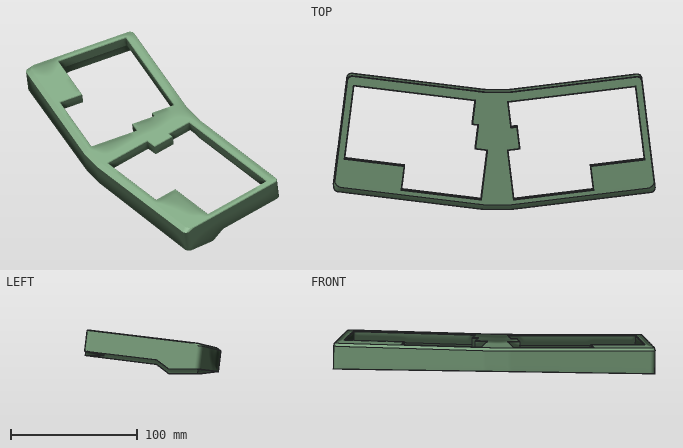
import cadquery as cq
import math


KEY = 19.05
KEY_ROWS = 4
WING_ANGLE = 7.0
TILT = 7.0
ROLL = 0.86

LEFT_ROWS = (5.0, 5.25, 5.75, 5.75)
RIGHT_ROWS = (5.25, 5.0, 5.5, 5.5)
LEFT_BLOCK = 2.5
RIGHT_BLOCK = 2.25

KEY_GAP = 0.5
END_MARGIN = 6.5
EDGE_MARGIN = 8.5
MIDDLE_WIDTH = 20.0
MIDDLE_MARGIN = 4.6
DEPTH = KEY_ROWS * KEY + 2 * EDGE_MARGIN
CORNER_RADIUS = 4.0
BEND_RADIUS = 18.0
WALL = 2.7

PLATE = 8.0
BACK_HEIGHT = 17.0
BLANK_HEIGHT = 60.0

FOOT_START = 49.4
FOOT_RUN = 10.6
FOOT_SLOPE = 30.0

EDGE_BREAK = 0.5
CHAMFER_RUN = 4.0
CHAMFER_DROP = 2.0
CHAMFER_TOP_RADIUS = 6.0

BEYOND = 300.0

LEFT_SIDE = -1
RIGHT_SIDE = 1


def wing_length(rows):
    return rows[-1] * KEY + END_MARGIN + MIDDLE_MARGIN


def wing_point(side, along, across):
    """Plan point at a distance outward along a wing and back across it, from its front bend."""
    angle = math.radians(WING_ANGLE)
    outward = along * math.cos(angle) - across * math.sin(angle)
    backward = along * math.sin(angle) + across * math.cos(angle)
    return side * (MIDDLE_WIDTH / 2 + outward), backward


def wing_corners(side, rows, inset, front_inset):
    """Corners of one wing from the front bend to the back bend, moved inward by the insets."""
    bend_shift = math.tan(math.radians(WING_ANGLE))
    end = wing_length(rows) - inset
    back = DEPTH - inset
    return [
        wing_point(side, front_inset * bend_shift, front_inset),
        wing_point(side, end, front_inset),
        wing_point(side, end, back),
        wing_point(side, back * bend_shift, back),
    ]


def outline(inset, front_inset):
    """Plan corners of the whole case, counterclockwise."""
    right = wing_corners(RIGHT_SIDE, RIGHT_ROWS, inset, front_inset)
    left = wing_corners(LEFT_SIDE, LEFT_ROWS, inset, front_inset)
    return right + left[::-1]


def rounded_outline(height, front_inset, front_corner_radius):
    """Wire of the case plan at a height, with rounded corners and bends."""
    corners = [cq.Vector(x, y, height) for x, y in outline(0, front_inset)]
    face = cq.Face.makeFromWires(cq.Wire.makePolygon(corners, close=True))

    bends = []
    front_corners = []
    back_corners = []
    for vertex in face.Vertices():
        if abs(vertex.X) < MIDDLE_WIDTH:
            bends.append(vertex)
        elif vertex.Y < DEPTH / 2:
            front_corners.append(vertex)
        else:
            back_corners.append(vertex)

    face = face.fillet2D(BEND_RADIUS, bends)
    face = face.fillet2D(front_corner_radius, front_corners)
    face = face.fillet2D(CORNER_RADIUS, back_corners)
    return face.outerWire()


def body():
    """Solid stock with a wide chamfer along the front and an edge break on the sides and back."""
    plan = cq.Face.makeFromWires(rounded_outline(0, 0, CORNER_RADIUS))
    stock = cq.Workplane(cq.Solid.extrudeLinear(plan, cq.Vector(0, 0, -BLANK_HEIGHT)))
    edge_broken = stock.faces(">Z").edges().chamfer(EDGE_BREAK)

    chamfer_top = rounded_outline(0, CHAMFER_RUN, CHAMFER_TOP_RADIUS)
    chamfer_bottom = rounded_outline(-CHAMFER_DROP, 0, CORNER_RADIUS)
    chamfer_layer = cq.Workplane(cq.Solid.makeLoft([chamfer_bottom, chamfer_top], True))
    below_chamfer = stock.translate((0, 0, -CHAMFER_DROP))
    return edge_broken.intersect(chamfer_layer.union(below_chamfer))


def underside():
    """Space below the case: parallel to the top face at the back, then around the foot."""
    foot_front_end = FOOT_START - FOOT_RUN
    foot_level = -BACK_HEIGHT - FOOT_RUN * math.tan(math.radians(FOOT_SLOPE))
    level_rise = (foot_front_end + BEYOND) * math.tan(math.radians(TILT))
    profile = [
        (BEYOND, -BACK_HEIGHT),
        (FOOT_START, -BACK_HEIGHT),
        (foot_front_end, foot_level),
        (-BEYOND, foot_level + level_rise),
        (-BEYOND, -BEYOND),
        (BEYOND, -BEYOND),
    ]
    return cq.Workplane("YZ").polyline(profile).close().extrude(BEYOND, both=True)


def cavity():
    """Hollow inside the walls, open at the bottom."""
    top = cq.Workplane("XY", origin=(0, 0, -PLATE))
    return top.polyline(outline(WALL, WALL)).close().extrude(-BLANK_HEIGHT)


def key_opening(side, rows, block):
    """Opening around the keys of one wing, one key gap larger than the keys on every side."""
    outer_key = wing_length(rows) - END_MARGIN
    outer = outer_key + KEY_GAP
    front = EDGE_MARGIN - KEY_GAP
    back = DEPTH - front
    block_end = outer_key - block * KEY + KEY_GAP
    block_back = EDGE_MARGIN + KEY - KEY_GAP
    row_ends = [outer_key - row * KEY - KEY_GAP for row in rows]

    points = [(block_end, front), (block_end, block_back), (outer, block_back), (outer, back)]
    points.append((row_ends[0], back))
    for number in range(1, KEY_ROWS):
        if rows[number] == rows[number - 1]:
            continue
        gap = KEY_GAP if rows[number] > rows[number - 1] else -KEY_GAP
        step = EDGE_MARGIN + (KEY_ROWS - number) * KEY + gap
        points.append((row_ends[number - 1], step))
        points.append((row_ends[number], step))
    points.append((row_ends[-1], front))

    plan = [wing_point(side, along, across) for along, across in points]
    return cq.Workplane("XY").polyline(plan).close().extrude(-BLANK_HEIGHT)


def break_key_edges(case):
    """Chamfer the top edges of the key openings."""
    top_face = case.faces(">Z").val()
    edges = [edge for wire in top_face.innerWires() for edge in wire.Edges()]
    return case.newObject(edges).chamfer(EDGE_BREAK)


case = body().cut(underside()).cut(cavity())
case = case.cut(key_opening(LEFT_SIDE, LEFT_ROWS, LEFT_BLOCK))
case = case.cut(key_opening(RIGHT_SIDE, RIGHT_ROWS, RIGHT_BLOCK))
case = break_key_edges(case)

tilted = case.rotate((0, 0, 0), (1, 0, 0), TILT)
result = tilted.rotate((0, 0, 0), (0, 1, 0), ROLL)